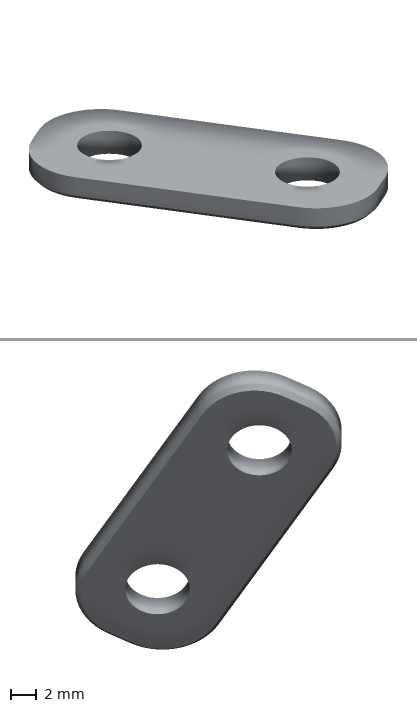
import cadquery as cq

length = 28.0
width = 12.0
thickness = 2.0
corner_radius = 5.0
bottom_chamfer = 0.4

hole_diameter = 5.0
hole_spacing = 16.0

plate = (
    cq.Workplane("XY")
    .box(length, width, thickness, centered=(True, True, False))
    .edges("|Z")
    .fillet(corner_radius)
)

plate = plate.faces("<Z").edges().chamfer(bottom_chamfer)

hole_centers = [(-hole_spacing / 2, 0), (hole_spacing / 2, 0)]
result = (
    plate.faces(">Z")
    .workplane(origin=(0, 0, thickness))
    .pushPoints(hole_centers)
    .hole(hole_diameter)
)